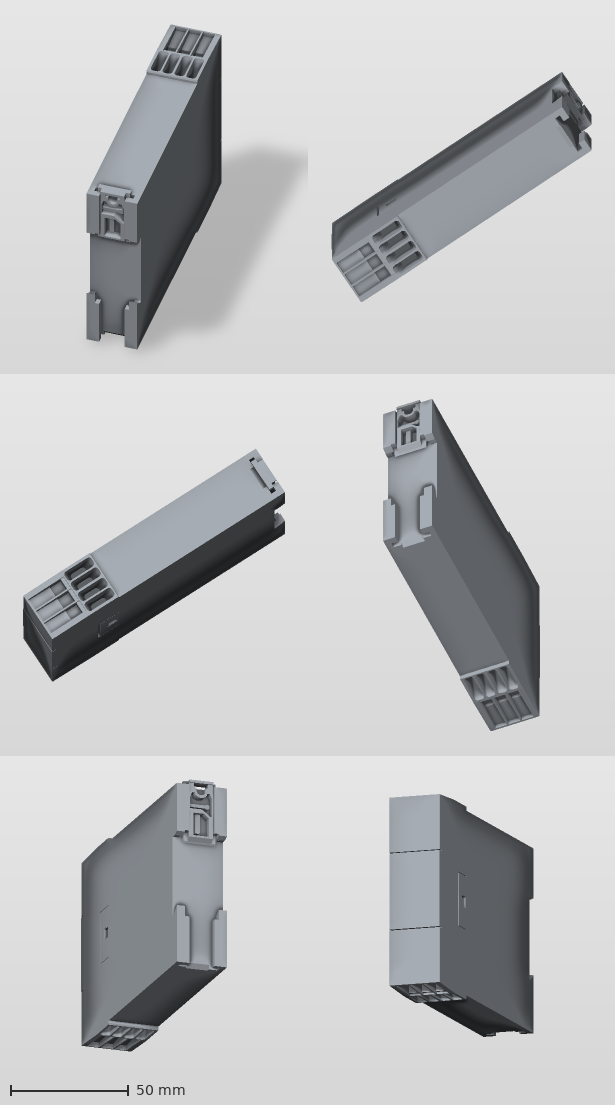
import cadquery as cq
import math

width = 22.7
length = 118.0
cover_height = 83.7
half_width = width / 2
mid_z = cover_height / 2

body_inset = 1.8
body_overlap = 1.2
cover_start = 84.0
cover_chamfer_y = 0.4
cover_chamfer_z = 0.7
cover_kink = 99.5
cover_taper = 1.1
cover_face = 117.9
cover_edge_chamfer = 0.3

plate_half_height = 16.5
plate_back = 115.6
gap_height = 0.4

wire_pocket_width = 4.4
wire_pocket_offsets = (-7.9, -2.7, 2.7, 7.9)
wire_pocket_start = 85.0
wire_pocket_end = 98.6
wire_floor_start = 88.0
wire_floor_end = 95.3
wire_pocket_depth = 11.8
wire_corner_radius = 1.4
screw_pocket_widths = (5.3, 5.5, 5.3)
screw_pocket_offsets = (-6.1, 0.0, 6.1)
screw_pocket_end = 117.1
screw_ramp_end = 106.2
screw_shelf_end = 100.7
screw_pocket_start = 99.2
screw_depth_face = 3.2
screw_depth_ramp = 3.8
screw_depth_floor = 5.3
screw_depth_shelf = 1.0

tab_height = 23.4
tab_root = 84.3
tab_tip = 93.6
tip_slit_width = 1.3
edge_slit_width = 0.2
slit_depth = 1.8
window_start = 84.8
window_end = 90.0
window_height = 5.2
window_step = 0.1
window_margin = 0.6
window_depth_root = 1.7
window_depth_tip = 1.1

rail_depth = 5.2
upper_jaw_z = 59.4
upper_jaw_rise = 1.1
upper_jaw_slope = 2.8
lower_jaw_z = 24.4
lower_jaw_rise = 2.7
lower_jaw_slope = 3.8

guide_half_width = 8.7
guide_front = 2.8
mouth_half_width = 11.5 / 2
wide_mouth_half_width = 15.2 / 2
upper_wide_mouth_z = 61.1
lower_wide_mouth_z = 22.7
relief_half_width = 5.1
relief_depth = 1.8
relief_height = 2.0

latch_top = 84.2
latch_front = 1.1
latch_lip_front = 0.4
latch_lip_height = 1.2
latch_half_width = 10.7 / 2
flange_half_width = 7.2
flange_front = 3.0
flange_back = 4.6
hook_front_z = 58.9
hook_flange_z = 57.4
hook_tip_y = 3.5
hook_tip_z = 56.7
latch_pocket_floor = 5.0

screw_z = 80.0
screw_radius = 4.1 / 2
screw_floor = 4.2
screw_slot_half_width = 3.2
screw_slot_bottom = 81.2
screw_slope_top = 81.9
screw_slot_floor = rail_depth

spring_half_width = 10.0 / 2
spring_top = 78.9
spring_bottom_left = 71.7
spring_bottom_right = 68.7
spring_bend_x = 0.5
spring_bend_end = 4.1
shoulder_inner = 2.7
shoulder_outer = 4.0
shoulder_z = 76.6
screw_wall_radius = 3.3
bar_z = 73.4
bar_front = 2.6
bar_half_height = 0.7
bar_tip_x = 3.3
bar_tip_radius = 1.12

grip_half_width = 3.5
grip_bottom = 59.7
grip_top = 69.8
grip_slope_x = 1.4
grip_slope_z = 67.9
rib_left = -2.0
rib_right = 0.1
rib_bottom = 61.1
rib_front = 3.0
rib_round = 0.7


def box(x_span, y_span, z_span):
    """Box between the given pairs of limits."""
    size = [span[1] - span[0] for span in (x_span, y_span, z_span)]
    corner = (x_span[0], y_span[0], z_span[0])
    return cq.Workplane("XY").box(*size, centered=False).translate(corner)


def side_prism(points, half, center=0.0):
    """Outline of (y, z) points, extended along X to both sides of its center."""
    return cq.Workplane("YZ").workplane(offset=center).polyline(points).close().extrude(half, both=True)


def front_prism(sketch, y_front, y_back):
    """Outline drawn in (x, z) by the given function, cut back along +Y."""
    plane = cq.Workplane("XZ", origin=(0, y_front, 0))
    return sketch(plane).extrude(y_front - y_back)


def mirrored_top_and_bottom(shape):
    """The shape together with its copy mirrored about mid height."""
    return shape.union(shape.mirror("XY", (0, 0, mid_z)))


def make_housing():
    body = box((-half_width, half_width), (0, cover_start + body_overlap), (body_inset, cover_height - body_inset))
    upper_outline = [
        (cover_start, mid_z),
        (cover_start, cover_height - cover_chamfer_z),
        (cover_start + cover_chamfer_y, cover_height),
        (cover_kink, cover_height),
        (cover_face, cover_height - cover_taper),
    ]
    lower_outline = [(y, cover_height - z) for y, z in reversed(upper_outline[1:])]
    cover = side_prism(upper_outline + lower_outline, half_width)
    cover = cover.edges("|Z and >Y").chamfer(cover_edge_chamfer)
    plate = box(
        (-half_width, half_width),
        (plate_back, length),
        (mid_z - plate_half_height, mid_z + plate_half_height),
    )
    gap = box(
        (-half_width, half_width),
        (plate_back, length),
        (mid_z + plate_half_height, mid_z + plate_half_height + gap_height),
    )
    return body.union(cover).union(plate).cut(mirrored_top_and_bottom(gap))


def make_wire_pocket(x):
    """Funnel with sloping ends and rounded corners."""
    slope = wire_pocket_depth / (wire_floor_start - wire_pocket_start)
    end_slope = wire_pocket_depth / (wire_pocket_end - wire_floor_end)
    above = 1.2
    floor_z = cover_height - wire_pocket_depth
    outline = [
        (wire_floor_start, floor_z),
        (wire_floor_end, floor_z),
        (wire_pocket_end + above / end_slope, cover_height + above),
        (wire_pocket_start - above / slope, cover_height + above),
    ]
    pocket = side_prism(outline, wire_pocket_width / 2, x)
    return pocket.edges("not(|X or |Y)").fillet(wire_corner_radius)


def make_screw_pocket(x, pocket_width):
    """Pocket whose floor slopes gently from the face, then drops, and ends in a shelf."""
    floor_z = cover_height - screw_depth_floor
    shelf_z = cover_height - screw_depth_shelf
    outline = [
        (screw_pocket_start, latch_top),
        (screw_pocket_start, shelf_z),
        (screw_shelf_end, shelf_z),
        (screw_shelf_end, floor_z),
        (screw_ramp_end, floor_z),
        (screw_ramp_end, cover_height - screw_depth_ramp),
        (screw_pocket_end, cover_height - screw_depth_face),
        (screw_pocket_end, latch_top),
    ]
    return side_prism(outline, pocket_width / 2, x)


def cut_terminals(part):
    for x in wire_pocket_offsets:
        part = part.cut(mirrored_top_and_bottom(make_wire_pocket(x)))
    for x, pocket_width in zip(screw_pocket_offsets, screw_pocket_widths):
        part = part.cut(mirrored_top_and_bottom(make_screw_pocket(x, pocket_width)))
    return part


def cut_snap_tab(part):
    side = -half_width

    def side_pocket(points, height):
        plane = cq.Workplane("XY").workplane(offset=mid_z)
        return plane.polyline(points).close().extrude(height / 2, both=True)

    tip_slit = [(side, tab_tip), (side + slit_depth, tab_tip), (side, tab_tip + tip_slit_width)]
    part = part.cut(side_pocket(tip_slit, tab_height))

    slit_span = (side, side + slit_depth)
    edge_z = mid_z + tab_height / 2
    edge_slit = box(slit_span, (tab_root, tab_tip), (edge_z - edge_slit_width, edge_z))
    part = part.cut(mirrored_top_and_bottom(edge_slit))

    half_window = window_height / 2
    border = box(
        (side, side + window_step),
        (window_start, window_end),
        (mid_z - half_window, mid_z + half_window),
    )
    inner_start = window_start + window_margin
    inner_end = window_end - window_margin
    window = [
        (side, inner_start),
        (side + window_depth_root, inner_start),
        (side + window_depth_tip, inner_end),
        (side, inner_end),
    ]
    return part.cut(border).cut(side_pocket(window, window_height - window_margin))


def cut_rail_seat(part):
    seat = [
        (0, upper_jaw_z + upper_jaw_rise),
        (upper_jaw_slope, upper_jaw_z),
        (rail_depth, upper_jaw_z),
        (rail_depth, lower_jaw_z),
        (lower_jaw_slope, lower_jaw_z),
        (0, lower_jaw_z + lower_jaw_rise),
    ]
    return part.cut(side_prism(seat, half_width))


def cut_latch_guide(part):
    full_height = (0, cover_height)
    part = part.cut(box((-guide_half_width, guide_half_width), (guide_front, rail_depth), full_height))
    part = part.cut(box((-mouth_half_width, mouth_half_width), (0, rail_depth), full_height))
    part = part.cut(box(
        (-wide_mouth_half_width, wide_mouth_half_width),
        (0, rail_depth),
        (lower_wide_mouth_z, upper_wide_mouth_z),
    ))
    relief = [
        (rail_depth, body_inset),
        (rail_depth + relief_depth, body_inset),
        (rail_depth, body_inset + relief_height),
    ]
    return part.cut(mirrored_top_and_bottom(side_prism(relief, relief_half_width)))


def make_latch_blank():
    """Latch with flanges at its back, a lip on top and a hook below."""
    back = [
        (flange_front, latch_top),
        (flange_front, hook_flange_z),
        (hook_tip_y, hook_tip_z),
        (flange_back, hook_front_z),
        (rail_depth, upper_jaw_z),
        (rail_depth, latch_top),
    ]
    front = [
        (latch_lip_front, latch_top),
        (latch_lip_front, latch_top - latch_lip_height),
        (latch_front, latch_top - latch_lip_height),
        (latch_front, hook_front_z),
        (flange_front, hook_flange_z),
        (flange_front, latch_top),
    ]
    return side_prism(back, flange_half_width).union(side_prism(front, latch_half_width))


def make_screw_opening():
    lip_bottom = latch_top - latch_lip_height
    hole = front_prism(lambda p: p.center(0, screw_z).circle(screw_radius), latch_front, screw_floor)
    slope_outline = [
        (latch_front, screw_z),
        (screw_floor, screw_z),
        (screw_slot_floor, screw_slope_top),
        (screw_slot_floor, lip_bottom),
        (latch_front, lip_bottom),
    ]
    slope = side_prism(slope_outline, screw_radius)
    slot = side_prism(slope_outline, screw_slot_half_width).intersect(box(
        (-screw_slot_half_width, screw_slot_half_width),
        (latch_front, screw_slot_floor),
        (screw_slot_bottom, lip_bottom),
    ))
    return hole.union(slope).union(slot)


def make_spring_opening():
    """Opening below the screw with a recessed bar that has a round tip."""
    wall_angle = math.asin(shoulder_inner / screw_wall_radius)
    wall_z = screw_z - screw_wall_radius * math.cos(wall_angle)

    def outline(plane):
        return (
            plane.moveTo(-spring_half_width, spring_bottom_left)
            .lineTo(-spring_half_width, shoulder_z)
            .lineTo(-shoulder_outer, spring_top)
            .lineTo(-shoulder_inner, spring_top)
            .lineTo(-shoulder_inner, wall_z)
            .threePointArc((0, screw_z - screw_wall_radius), (shoulder_inner, wall_z))
            .lineTo(shoulder_inner, spring_top)
            .lineTo(shoulder_outer, spring_top)
            .lineTo(spring_half_width, shoulder_z)
            .lineTo(spring_half_width, spring_bottom_right)
            .lineTo(spring_bend_end, spring_bottom_right)
            .lineTo(spring_bend_x, spring_bottom_left)
            .close()
        )

    opening = front_prism(outline, latch_front, latch_pocket_floor)
    bar = box(
        (-spring_half_width, bar_tip_x),
        (bar_front, latch_pocket_floor),
        (bar_z - bar_half_height, bar_z + bar_half_height),
    )
    tip = front_prism(
        lambda p: p.center(bar_tip_x, bar_z).circle(bar_tip_radius), bar_front, latch_pocket_floor
    )
    return opening.cut(bar).cut(tip)


def make_grip_opening():
    """Opening for a tool, with one corner cut off and a rib standing in it."""
    outline = [
        (-grip_half_width, grip_bottom),
        (-grip_half_width, grip_top),
        (grip_slope_x, grip_top),
        (grip_half_width, grip_slope_z),
        (grip_half_width, grip_bottom),
    ]
    opening = front_prism(lambda p: p.polyline(outline).close(), latch_front, latch_pocket_floor)
    rib = box((rib_left, rib_right), (rib_front, latch_pocket_floor), (rib_bottom, grip_top))
    rib = rib.edges("|Y and >X and <Z").fillet(rib_round)
    return opening.cut(rib)


def make_latch():
    latch = make_latch_blank()
    for opening in (make_screw_opening(), make_spring_opening(), make_grip_opening()):
        latch = latch.cut(opening)
    return latch


housing = make_housing()
housing = cut_terminals(housing)
housing = cut_snap_tab(housing)
housing = cut_rail_seat(housing)
housing = cut_latch_guide(housing)
result = housing.union(make_latch())